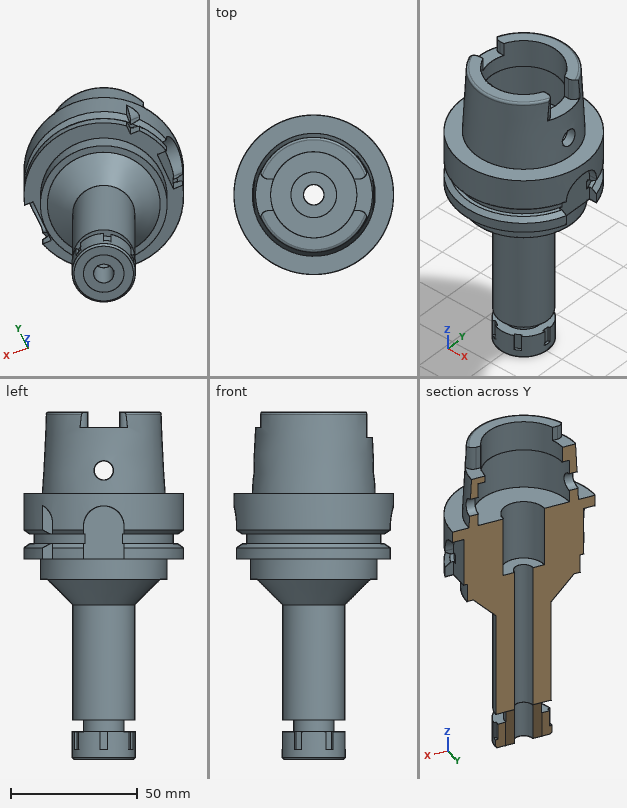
import cadquery as cq
import math


FLANGE_RADIUS = 31.5
FLANGE_HEIGHT = 26.0
GROOVE_DEPTH = 18.0
GROOVE_WIDTH = 3.75
GROOVE_MOUTH_WIDTH = 7.0
GROOVE_FLOOR_RADIUS = 27.5
GROOVE_BEVEL_DEPTH = 2.3

TAPER_HEIGHT = 32.0
TAPER_BASE_RADIUS = 24.25
TAPER_RATIO = 1 / 10
RIM_ROUND = 1.0

MOUTH_RADIUS = 17.0
MOUTH_DEPTH = 13.0
CAVITY_RADIUS = 20.0
TUBE_BORE_RADIUS = 9.0
BORE_RADIUS = 4.0

DRIVE_SLOT_WIDTH = 12.5
DRIVE_SLOT_DEPTHS = {-1: 6.0, 1: 10.0}
DRIVE_SLOT_ROUND = 3.0
DRIVE_FLAT_X = 20.95
DRIVE_FLAT_WIDTH = 22.0

CROSS_HOLE_RADIUS = 3.75
CROSS_HOLE_HEIGHT = 9.0

KEYWAY_FLOOR = 26.5
KEYWAY_WIDTHS = {-1: 16.0, 1: 18.0}
KEYWAY_TOP = 5.0
NOTCH_X = -20.3
NOTCH_Y = 20.2
NOTCH_RADIUS = 8.0
NOTCH_ROUND_DEPTH = 11.7

COLLAR_RADIUS = 25.0
COLLAR_HEIGHT = 8.0
SHAFT_RADIUS = 12.25
SHAFT_END = 89.5
CONE_HEIGHT = 10.0

TIP_DEPTH = 105.0
NUT_RADIUS = 12.5
NUT_HEIGHT = 11.0
NUT_CHAMFER = 0.8
NUT_SLOT_COUNT = 6
NUT_SLOT_WIDTH = 3.0
NUT_SLOT_HEIGHT = 7.0
NUT_SLOT_DEPTH = 1.1
COLLET_RADIUS = 8.0


def revolve_outline(outline):
    """Turn a sketch of radius against z about the Z axis."""
    return outline.close().revolve(360, (0, 0, 0), (0, 1, 0))


def holder_blank():
    rim_z = TAPER_HEIGHT - RIM_ROUND
    rim_radius = TAPER_BASE_RADIUS - rim_z * TAPER_RATIO / 2
    rim_round_middle = RIM_ROUND * math.sin(math.radians(45))
    bevel_radius = FLANGE_RADIUS - GROOVE_BEVEL_DEPTH
    collar_bottom = -FLANGE_HEIGHT - COLLAR_HEIGHT
    cone_bottom = collar_bottom - CONE_HEIGHT
    outline = (
        cq.Workplane("XZ")
        .moveTo(0, TAPER_HEIGHT)
        .lineTo(rim_radius - RIM_ROUND, TAPER_HEIGHT)
        .threePointArc(
            (rim_radius - RIM_ROUND + rim_round_middle, rim_z + rim_round_middle),
            (rim_radius, rim_z),
        )
        .lineTo(TAPER_BASE_RADIUS, 0)
        .lineTo(FLANGE_RADIUS, 0)
        .lineTo(FLANGE_RADIUS, -GROOVE_DEPTH + GROOVE_MOUTH_WIDTH / 2)
        .lineTo(bevel_radius, -GROOVE_DEPTH + GROOVE_WIDTH / 2)
        .lineTo(GROOVE_FLOOR_RADIUS, -GROOVE_DEPTH + GROOVE_WIDTH / 2)
        .lineTo(GROOVE_FLOOR_RADIUS, -GROOVE_DEPTH - GROOVE_WIDTH / 2)
        .lineTo(bevel_radius, -GROOVE_DEPTH - GROOVE_WIDTH / 2)
        .lineTo(FLANGE_RADIUS, -GROOVE_DEPTH - GROOVE_MOUTH_WIDTH / 2)
        .lineTo(FLANGE_RADIUS, -FLANGE_HEIGHT)
        .lineTo(COLLAR_RADIUS, -FLANGE_HEIGHT)
        .lineTo(COLLAR_RADIUS, collar_bottom)
        .lineTo(SHAFT_RADIUS + CONE_HEIGHT, collar_bottom)
        .lineTo(SHAFT_RADIUS, cone_bottom)
        .lineTo(SHAFT_RADIUS, -SHAFT_END)
        .lineTo(0, -SHAFT_END)
    )
    return revolve_outline(outline)


def holder_bore():
    """Rim mouth, wider clamping cavity with its floor at z = 0, tube bore and through bore."""
    mouth_bottom = TAPER_HEIGHT - MOUTH_DEPTH
    outline = (
        cq.Workplane("XZ")
        .moveTo(0, TAPER_HEIGHT)
        .lineTo(MOUTH_RADIUS, TAPER_HEIGHT)
        .lineTo(MOUTH_RADIUS, mouth_bottom)
        .lineTo(CAVITY_RADIUS, mouth_bottom)
        .lineTo(CAVITY_RADIUS, 0)
        .lineTo(TUBE_BORE_RADIUS, 0)
        .lineTo(TUBE_BORE_RADIUS, -FLANGE_HEIGHT)
        .lineTo(BORE_RADIUS, -FLANGE_HEIGHT)
        .lineTo(BORE_RADIUS, -SHAFT_END)
        .lineTo(0, -SHAFT_END)
    )
    return revolve_outline(outline)


def drive_slot(side):
    """Rim slot on one side of X; its walls turn through a round into flats facing along X."""
    depth = DRIVE_SLOT_DEPTHS[side]
    half = DRIVE_SLOT_WIDTH / 2
    flat_half = DRIVE_FLAT_WIDTH / 2
    flat_x = side * DRIVE_FLAT_X
    round_start_x = side * (DRIVE_FLAT_X - DRIVE_SLOT_ROUND)
    round_middle = DRIVE_SLOT_ROUND * (1 - math.sin(math.radians(45)))
    round_middle_x = side * (DRIVE_FLAT_X - round_middle)
    outer_x = side * (TAPER_BASE_RADIUS + 1)
    return (
        cq.Workplane("XY", origin=(0, 0, TAPER_HEIGHT - depth))
        .moveTo(0, -half)
        .lineTo(round_start_x, -half)
        .threePointArc((round_middle_x, -half - round_middle), (flat_x, -half - DRIVE_SLOT_ROUND))
        .lineTo(flat_x, -flat_half)
        .lineTo(outer_x, -flat_half)
        .lineTo(outer_x, flat_half)
        .lineTo(flat_x, flat_half)
        .lineTo(flat_x, half + DRIVE_SLOT_ROUND)
        .threePointArc((round_middle_x, half + round_middle), (round_start_x, half))
        .lineTo(0, half)
        .close()
        .extrude(depth)
    )


def arched_cutter(x_start, x_end, y_center, radius, round_depth):
    """Slot along X, open at the flange bottom and closed by a half circle at the top."""
    return (
        cq.Workplane("YZ", origin=(x_start, 0, 0))
        .moveTo(y_center - radius, -FLANGE_HEIGHT)
        .lineTo(y_center - radius, -round_depth)
        .threePointArc((y_center, radius - round_depth), (y_center + radius, -round_depth))
        .lineTo(y_center + radius, -FLANGE_HEIGHT)
        .close()
        .extrude(x_end - x_start)
    )


def keyway(side):
    radius = KEYWAY_WIDTHS[side] / 2
    return arched_cutter(side * KEYWAY_FLOOR, side * FLANGE_RADIUS, 0, radius, KEYWAY_TOP + radius)


def corner_notch():
    return arched_cutter(-FLANGE_RADIUS, NOTCH_X, NOTCH_Y + NOTCH_RADIUS, NOTCH_RADIUS, NOTCH_ROUND_DEPTH)


def make_holder():
    cross_hole = (
        cq.Workplane("YZ")
        .center(0, CROSS_HOLE_HEIGHT)
        .circle(CROSS_HOLE_RADIUS)
        .extrude(FLANGE_RADIUS, both=True)
    )
    holder = holder_blank().cut(holder_bore()).cut(cross_hole).cut(corner_notch())
    for side in (-1, 1):
        holder = holder.cut(drive_slot(side)).cut(keyway(side))
    return holder


def make_nut():
    nut = (
        cq.Workplane("XY", origin=(0, 0, -TIP_DEPTH))
        .circle(NUT_RADIUS)
        .extrude(NUT_HEIGHT)
        .faces("<Z")
        .chamfer(NUT_CHAMFER)
        .cut(collet_cylinder())
    )
    slots = (
        cq.Workplane("XY", origin=(0, 0, NUT_HEIGHT - TIP_DEPTH))
        .polarArray(NUT_RADIUS, 0, 360, NUT_SLOT_COUNT)
        .rect(2 * NUT_SLOT_DEPTH, NUT_SLOT_WIDTH)
        .extrude(-NUT_SLOT_HEIGHT)
    )
    return nut.cut(slots)


def collet_cylinder():
    return cq.Workplane("XY", origin=(0, 0, -TIP_DEPTH)).circle(COLLET_RADIUS).extrude(TIP_DEPTH - SHAFT_END)


def make_collet():
    return collet_cylinder().faces(">Z").workplane().hole(2 * BORE_RADIUS)


holder = make_holder()
nut = make_nut()
collet = make_collet()

result = cq.Compound.makeCompound([holder.val(), nut.val(), collet.val()])